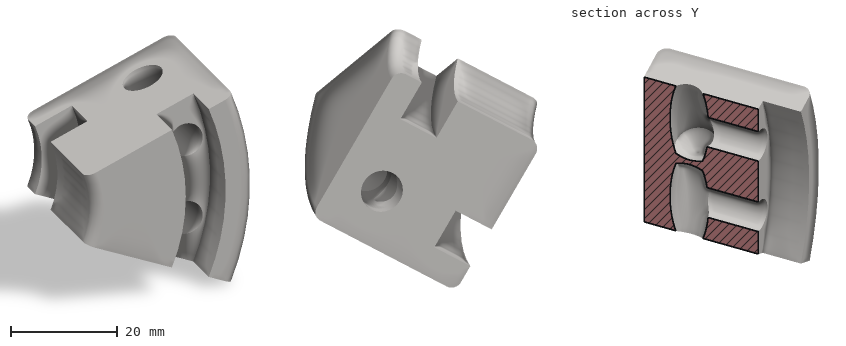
import cadquery as cq
import math

length = 32.0
half_angle = 22.5
outer_radius = 19.15 / math.sin(math.radians(half_angle))
inner_radius = 18.0
edge_fillet = 2.0

groove_width = 8.0
inner_groove_start = 5.5
inner_groove_radius = 26.0
side_groove_inner_radius = 36.5
side_groove_outer_radius = 44.5

hole_diameter = 8.0
hole_x = inner_groove_start + groove_width / 2
hole_radius = 39.7
hole_depth = 14.0
drill_tip_angle = 118

cross_hole_diameter = 6.6
cross_hole_angle = half_angle / 2
cross_hole_radius = (side_groove_inner_radius + side_groove_outer_radius) / 2


def ring(start_x, width, small_radius, large_radius):
    """Full ring about the X axis, starting at start_x."""
    return (
        cq.Workplane("YZ", origin=(start_x, 0, 0))
        .circle(large_radius)
        .circle(small_radius)
        .extrude(width)
    )


def wedge():
    """Prism between the two sloping faces, reaching past the outer radius."""
    reach = 2 * outer_radius
    half_height = reach * math.tan(math.radians(half_angle))
    return (
        cq.Workplane("YZ")
        .polyline([(0, 0), (reach, -half_height), (reach, half_height)])
        .close()
        .extrude(length)
    )


def face_hole(side):
    """Drilled hole in the upper (+1) or lower (-1) sloping face."""
    angle = math.radians(half_angle)
    mouth = cq.Vector(hole_x, hole_radius * math.cos(angle), side * hole_radius * math.sin(angle))
    inward = cq.Vector(0, math.sin(angle), -side * math.cos(angle))
    bore = cq.Solid.makeCylinder(hole_diameter / 2, hole_depth, mouth, inward)

    tip_length = hole_diameter / 2 / math.tan(math.radians(drill_tip_angle / 2))
    tip_base = mouth + inward * hole_depth
    tip = cq.Solid.makeCone(hole_diameter / 2, 0, tip_length, tip_base, inward)

    return cq.Workplane(bore).union(cq.Workplane(tip))


def cross_hole(side):
    """Hole along X from the side groove to the upper (+1) or lower (-1) drilled hole."""
    angle = math.radians(cross_hole_angle)
    start = cq.Vector(
        hole_x, cross_hole_radius * math.cos(angle), side * cross_hole_radius * math.sin(angle)
    )
    reach = length - groove_width / 2 - hole_x
    return cq.Workplane(
        cq.Solid.makeCylinder(cross_hole_diameter / 2, reach, start, cq.Vector(1, 0, 0))
    )


body = ring(0, length, inner_radius, outer_radius)
body = body.faces("<X or >X").edges().fillet(edge_fillet)
body = body.intersect(wedge())

body = body.cut(ring(inner_groove_start, groove_width, inner_radius / 2, inner_groove_radius))
body = body.cut(
    ring(length - groove_width, groove_width, side_groove_inner_radius, side_groove_outer_radius)
)
for side in (1, -1):
    body = body.cut(face_hole(side)).cut(cross_hole(side))

result = body